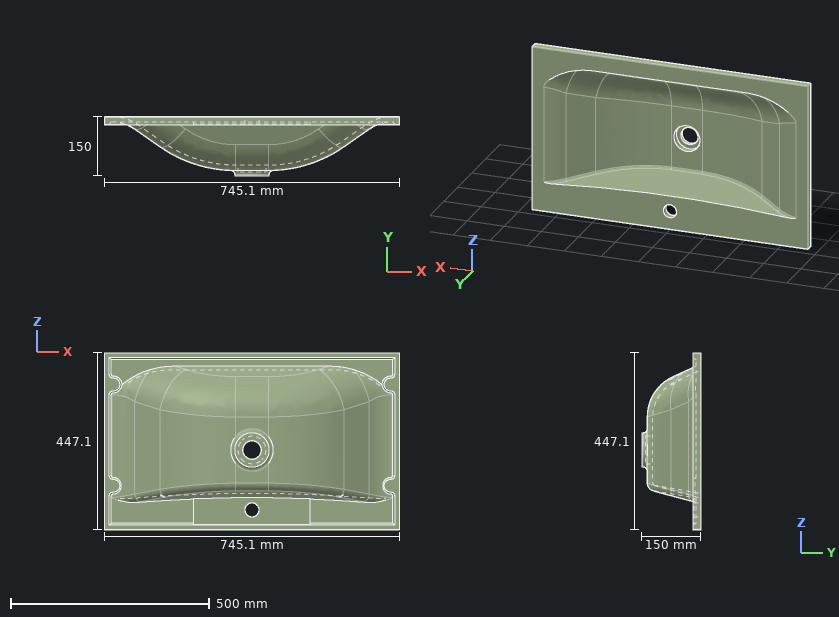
import cadquery as cq
import math

plate_width = 745.1
plate_height = 447.1
plate_thickness = 21.0
plate_edge_round = 2.0

rim_width = 12.0
recess_depth = 8.0
recess_draft_run = 5.25
floor_depth = plate_thickness - recess_depth
recess_width = plate_width - 2 * rim_width
recess_height = plate_height - 2 * rim_width
recess_draft = math.degrees(math.atan(recess_draft_run / recess_depth))

lug_radius = 16.0
lug_center_inset = 11.0
lug_neck_radius = 10.0
lug_heights = (143.5, -112.0)

pad_width = 294.0
pad_top_z = -130.0
pad_bottom_gap = 1.5
pad_bottom_z = -recess_height / 2 + pad_bottom_gap
pad_below_rim = 2.5
pad_depth = plate_thickness - pad_below_rim
tap_hole_diameter = 35.0
tap_hole_z = -173.0

overall_depth = 150.0
bowl_depth = 136.3
bowl_flat_half_width = 42.0
bowl_convex_radius = 332.0
bowl_side_angle = math.radians(35.0)
bowl_side_run = 63.6
floor_overlap = 0.02
bowl_edge_depth = floor_depth - floor_overlap
hollow_overlap = 1.0
wall_thickness = floor_depth + hollow_overlap

top_wall_z_at_floor = 190.0
top_wall_angle = math.radians(24.5)
top_wall_round = 112.0

bottom_wall_z_at_floor = -142.8
bottom_wall_radius = 3700.0
bottom_wall_draft = math.radians(9.6)
bottom_wall_round = 20.0

drain_z = -21.7
drain_boss_diameter = 87.0
drain_hole_diameter = 46.0
drain_boss_fillet = 10.0
drain_seat_diameter = 70.0
drain_seat_floor = 10.0

cutter_margin = 10.0
body_half_width = plate_width / 2 + 30.0
body_back = 150.0
body_half_height = 300.0
front_edge_tolerance = 1.0


def box_between(x_range, y_range, z_range):
    """Axis-aligned box given its lower and upper limit along each axis."""
    size = [high - low for low, high in (x_range, y_range, z_range)]
    corner = cq.Vector(x_range[0], y_range[0], z_range[0])
    return cq.Workplane(cq.Solid.makeBox(*size, corner))


def cylinder_along_y(diameter, z, front_depth, back_depth):
    """Cylinder on x = 0 from y = -front_depth to y = -back_depth."""
    start = cq.Vector(0, -front_depth, z)
    length = front_depth - back_depth
    return cq.Workplane(cq.Solid.makeCylinder(diameter / 2, length, start, cq.Vector(0, 1, 0)))


def bowl_prism(inset):
    """Prism along Z of the bowl cross-section, moved inward by the inset."""
    sin_a = math.sin(bowl_side_angle)
    cos_a = math.cos(bowl_side_angle)
    half_a = bowl_side_angle / 2

    convex_radius = bowl_convex_radius - inset
    side_rise = bowl_side_run * math.tan(bowl_side_angle)
    convex_rise = bowl_convex_radius * (1 - cos_a)
    concave_rise = bowl_depth - bowl_edge_depth - convex_rise - side_rise
    concave_outer_radius = concave_rise / (1 - cos_a)
    concave_radius = concave_outer_radius + inset

    bottom_y = -bowl_depth + inset
    edge_y = -bowl_edge_depth + inset
    edge_x = bowl_flat_half_width + bowl_convex_radius * sin_a + bowl_side_run + concave_outer_radius * sin_a

    def convex_point(angle):
        x = bowl_flat_half_width + convex_radius * math.sin(angle)
        return x, bottom_y + convex_radius * (1 - math.cos(angle))

    def concave_point(angle):
        x = edge_x - concave_radius * math.sin(angle)
        return x, edge_y - concave_radius * (1 - math.cos(angle))

    half = (
        cq.Workplane("XY", origin=(0, 0, -body_half_height))
        .moveTo(0, body_back)
        .lineTo(0, bottom_y)
        .lineTo(bowl_flat_half_width, bottom_y)
        .threePointArc(convex_point(half_a), convex_point(bowl_side_angle))
        .lineTo(*concave_point(bowl_side_angle))
        .threePointArc(concave_point(half_a), (edge_x, edge_y))
        .lineTo(body_half_width, edge_y)
        .lineTo(body_half_width, body_back)
        .close()
        .extrude(2 * body_half_height)
    )
    return half.union(half.mirror("YZ")).clean()


def above_top_wall(inset):
    """Everything above the sloping upper wall plane."""
    slope = math.tan(top_wall_angle)
    wall_z = top_wall_z_at_floor - inset / math.cos(top_wall_angle)
    front = -overall_depth
    back = body_back + cutter_margin
    ceiling = 2 * body_half_height
    return (
        cq.Workplane("YZ")
        .moveTo(front, wall_z + slope * (front + floor_depth))
        .lineTo(back, wall_z + slope * (back + floor_depth))
        .lineTo(back, ceiling)
        .lineTo(front, ceiling)
        .close()
        .extrude(body_half_width + cutter_margin, both=True)
    )


def below_bottom_wall(inset):
    """Cone that carves the curved, drafted lower wall."""
    slope = math.tan(bottom_wall_draft)
    crown_z = bottom_wall_z_at_floor + inset / math.cos(bottom_wall_draft)
    axis_z = crown_z - bottom_wall_radius
    front = -overall_depth
    back = body_back + cutter_margin
    back_radius = bottom_wall_radius - slope * (back + floor_depth)
    front_radius = bottom_wall_radius - slope * (front + floor_depth)
    axis_start = cq.Vector(0, back, axis_z)
    return cq.Workplane(
        cq.Solid.makeCone(back_radius, front_radius, back - front, axis_start, cq.Vector(0, -1, 0))
    )


def front_edges(body, face_selector, front_limit):
    """Edges of one wall face that lie on the bowl's front."""
    return body.faces(face_selector).edges().filter(lambda edge: edge.Center().y < front_limit)


def bowl_body(inset):
    """Bowl solid; a positive inset gives its hollow."""
    body = bowl_prism(inset)
    body = body.cut(above_top_wall(inset)).cut(below_bottom_wall(inset))
    front_limit = -bowl_edge_depth + inset + front_edge_tolerance
    body = front_edges(body, ">Z", front_limit).fillet(top_wall_round - inset)
    body = front_edges(body, "<Z", front_limit).fillet(bottom_wall_round - inset)
    half_width = recess_width / 2
    return body.intersect(
        box_between(
            (-half_width, half_width),
            (-overall_depth, 0.0),
            (-recess_height / 2, recess_height / 2),
        )
    )


def recess_cutter():
    """Drafted recess, notched by the four lugs."""
    half_width = recess_width / 2
    half_height = recess_height / 2
    neck_height = math.sqrt(
        (lug_radius + lug_neck_radius) ** 2 - (lug_center_inset - lug_neck_radius) ** 2
    )
    neck_angle = math.atan2(neck_height, lug_neck_radius - lug_center_inset)
    neck_mid_angle = (math.pi + neck_angle) / 2
    lug_x = half_width - lug_center_inset
    neck_x = half_width - lug_neck_radius
    join_x = lug_x - lug_radius * math.cos(neck_angle)
    join_height = lug_radius * math.sin(neck_angle)
    neck_mid_x = neck_x - lug_neck_radius * math.cos(neck_mid_angle)
    neck_mid_height = neck_height - lug_neck_radius * math.sin(neck_mid_angle)
    plane = cq.Workplane("XZ", origin=(0, -plate_thickness, 0))
    outline = plane.moveTo(-half_width, -half_height).lineTo(half_width, -half_height)
    for side in (1, -1):
        for z in sorted(lug_heights, reverse=side < 0):
            outline = outline.lineTo(side * half_width, z - side * neck_height)
            outline = outline.threePointArc(
                (side * neck_mid_x, z - side * neck_mid_height),
                (side * join_x, z - side * join_height),
            )
            outline = outline.threePointArc(
                (side * (lug_x - lug_radius), z),
                (side * join_x, z + side * join_height),
            )
            outline = outline.threePointArc(
                (side * neck_mid_x, z + side * neck_mid_height),
                (side * half_width, z + side * neck_height),
            )
        if side > 0:
            outline = outline.lineTo(half_width, half_height).lineTo(-half_width, half_height)
    return outline.close().extrude(-recess_depth, taper=recess_draft)


def rim_plate():
    """Plate with rounded outer edges and the recess cut into its front."""
    plate = box_between(
        (-plate_width / 2, plate_width / 2),
        (-plate_thickness, 0.0),
        (-plate_height / 2, plate_height / 2),
    )
    plate = plate.edges("|Y or >Y").fillet(plate_edge_round)
    return plate.cut(recess_cutter())


def tap_pad():
    """Raised pad that stiffens the plate around the tap hole."""
    return box_between(
        (-pad_width / 2, pad_width / 2),
        (-pad_depth, -floor_depth),
        (pad_bottom_z, pad_top_z),
    )


def drain_boss():
    """Boss under the bowl, with a flared foot where it meets the flat bottom."""
    front = -overall_depth
    foot = -bowl_depth
    radius = drain_boss_diameter / 2
    flare = drain_boss_fillet
    flare_mid = flare * (1 - math.sqrt(0.5))
    root = foot + wall_thickness / 2
    profile = (
        cq.Workplane("XY", origin=(0, 0, drain_z))
        .moveTo(0, front)
        .lineTo(radius, front)
        .lineTo(radius, foot - flare)
        .threePointArc((radius + flare_mid, foot - flare_mid), (radius + flare, foot))
        .lineTo(radius + flare, root)
        .lineTo(0, root)
        .close()
    )
    return profile.revolve(360, (0, 0, 0), (0, 1, 0))


def holes():
    """Drain hole, drain seat and tap hole."""
    seat_depth = overall_depth - drain_seat_floor
    drain_hole = cylinder_along_y(drain_hole_diameter, drain_z, overall_depth, 0.0)
    drain_seat = cylinder_along_y(drain_seat_diameter, drain_z, seat_depth, 0.0)
    tap_hole = cylinder_along_y(tap_hole_diameter, tap_hole_z, plate_thickness, 0.0)
    return drain_hole.union(drain_seat).union(tap_hole)


result = rim_plate().union(tap_pad()).union(bowl_body(0.0)).union(drain_boss())
result = result.cut(bowl_body(wall_thickness)).cut(holes())